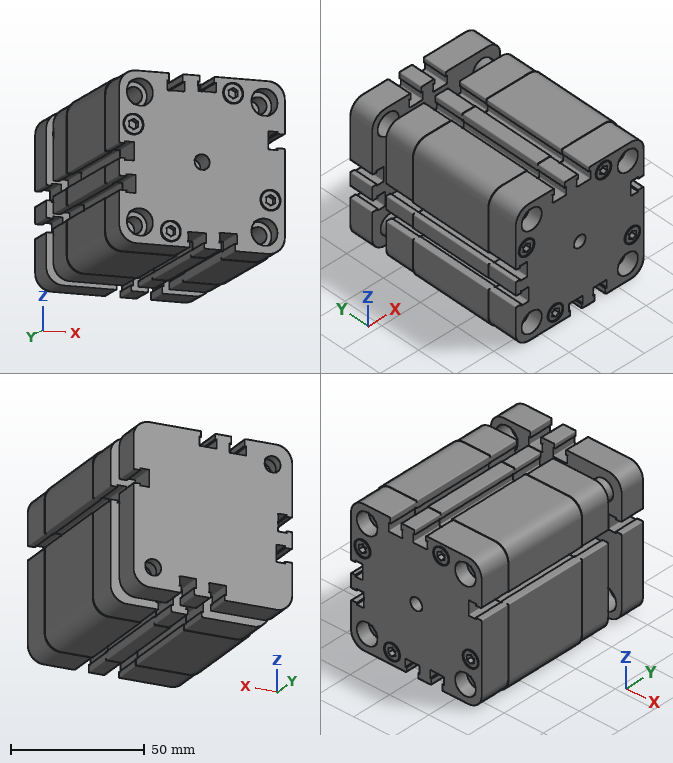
import cadquery as cq


OVERALL_LENGTH = 90.0
PLATE_THICKNESS = 12.0
ROD_GAP = 7.5
CAP_LENGTH = 14.75

REAR_FACE_Y = -OVERALL_LENGTH / 2
BARREL_REAR_Y = REAR_FACE_Y + CAP_LENGTH
PLATE_FRONT_Y = OVERALL_LENGTH / 2
PLATE_REAR_Y = PLATE_FRONT_Y - PLATE_THICKNESS
BODY_FRONT_Y = PLATE_REAR_Y - ROD_GAP
BARREL_FRONT_Y = BODY_FRONT_Y - CAP_LENGTH

BARREL_WIDTH = 67.0
CAP_WIDTH = 66.5
CORNER_RADIUS = 6.75

DEEP_CENTER = -10.5
DEEP_MOUTH = 5.5
CAP_DEEP_SLOT = (DEEP_CENTER, DEEP_MOUTH, 7.0, 30.35, 26.6)
BARREL_DEEP_SLOT = (DEEP_CENTER, DEEP_MOUTH, 7.2, 30.05, 26.4)
SHALLOW_LIP = 31.0
CAP_SHALLOW_SLOT = (2.0, 5.8, 7.2, SHALLOW_LIP, 27.25)
BARREL_SHALLOW_SLOT = (1.85, 5.5, 7.1, SHALLOW_LIP, 27.55)
MOUTH_FILLET = 0.5
FLOOR_FILLET = 0.5

DEEP_SLOT_ANGLES = (0, 90, 180, 270)
SHALLOW_SLOT_ANGLES = (0, 180, 270)

HOLE_OFFSET = 25.0
HOLE_DIAMETER = 6.65
COUNTERBORE_DIAMETER = 10.5
COUNTERBORE_DEPTH = 6.5
PLATE_BORE_DIAMETER = 11.0
PLATE_BORE_DEPTH = 8.0
THROUGH_CORNERS = ((-HOLE_OFFSET, HOLE_OFFSET), (HOLE_OFFSET, -HOLE_OFFSET))
BLIND_CORNERS = ((HOLE_OFFSET, HOLE_OFFSET), (-HOLE_OFFSET, -HOLE_OFFSET))

SCREW_NEAR = 12.5
SCREW_FAR = 27.5
SCREW_POINTS = (
    (SCREW_NEAR, SCREW_FAR),
    (SCREW_FAR, -SCREW_NEAR),
    (-SCREW_NEAR, -SCREW_FAR),
    (-SCREW_FAR, SCREW_NEAR),
)
SCREW_RECESS_DIAMETER = 8.0
SCREW_HEAD_DIAMETER = 7.5
SCREW_RECESS_DEPTH = 0.4
SOCKET_DIAMETER = 4.1
SOCKET_DEPTH = 2.5
SOCKET_SIDES = 6

CENTER_HOLE_DIAMETER = 6.0
CENTER_HOLE_DEPTH = 10.0

ROD_DIAMETER = 16.0
ROD_END_FILLET = 2.0
FLATS_WIDTH = 13.0
FLATS_LENGTH = 5.5
GUIDE_DIAMETER = 10.0
GUIDE_OFFSET = 24.0


def plane_at(y):
    """Plane across the stroke axis with local axes X and Z; extrusions run toward -Y."""
    return cq.Workplane("XZ", origin=(0, y, 0))


def about_axis(shape, angle):
    """Turn a shape about the stroke axis; positive angles carry the top face toward +X."""
    return shape.rotate((0, 0, 0), (0, 1, 0), angle)


def slot_cutter(slot, width, y_start, y_end):
    """Cutter for one slot in the top face of a block, with rounded mouth edges and floor corners."""
    center, mouth, channel, lip, floor = slot
    top = width / 2
    half_mouth = mouth / 2
    half_channel = channel / 2
    flare = half_mouth + MOUTH_FILLET
    arc_start = top - MOUTH_FILLET
    above = top + MOUTH_FILLET
    section = (
        plane_at(y_end)
        .center(center, 0)
        .moveTo(-half_channel, floor)
        .lineTo(half_channel, floor)
        .lineTo(half_channel, lip)
        .lineTo(half_mouth, lip)
        .lineTo(half_mouth, arc_start)
        .radiusArc((flare, top), MOUTH_FILLET)
        .lineTo(flare, above)
        .lineTo(-flare, above)
        .lineTo(-flare, top)
        .radiusArc((-half_mouth, arc_start), MOUTH_FILLET)
        .lineTo(-half_mouth, lip)
        .lineTo(-half_channel, lip)
        .close()
    )
    return section.extrude(y_end - y_start).faces("<Z").edges("|Y").fillet(FLOOR_FILLET)


def slotted_block(width, deep_slot, shallow_slot, y_start, y_end):
    """Rounded square block with the sensor slots running along its whole length."""
    length = y_end - y_start
    block = plane_at(y_end).rect(width, width).extrude(length).edges("|Y").fillet(CORNER_RADIUS)
    for slot, angles in ((deep_slot, DEEP_SLOT_ANGLES), (shallow_slot, SHALLOW_SLOT_ANGLES)):
        cutter = slot_cutter(slot, width, y_start, y_end)
        for angle in angles:
            block = block.cut(about_axis(cutter, angle))
    return block


def cap_block(y_start, y_end):
    return slotted_block(CAP_WIDTH, CAP_DEEP_SLOT, CAP_SHALLOW_SLOT, y_start, y_end)


def cylinders(points, diameter, y_start, y_end):
    """Cylinders along the stroke axis at the given (X, Z) points."""
    return plane_at(y_end).pushPoints(points).circle(diameter / 2).extrude(y_end - y_start)


def piston_rod():
    """Rod from the body to the plate, with wrench flats that ramp out at 45 degrees."""
    rod = cylinders([(0, 0)], ROD_DIAMETER, BARREL_FRONT_Y, PLATE_REAR_Y)
    rod = rod.faces(">Y").edges().fillet(ROD_END_FILLET)
    flat_x = FLATS_WIDTH / 2
    outer_x = ROD_DIAMETER / 2
    ramp = outer_x - flat_x
    flat_end_y = PLATE_REAR_Y - FLATS_LENGTH
    flat = (
        cq.Workplane("XY", origin=(0, 0, -outer_x))
        .moveTo(flat_x, PLATE_REAR_Y)
        .lineTo(flat_x, flat_end_y)
        .lineTo(outer_x, flat_end_y - ramp)
        .lineTo(outer_x, PLATE_REAR_Y)
        .close()
        .extrude(ROD_DIAMETER)
    )
    return rod.cut(flat).cut(flat.mirror("YZ"))


def guide_rods():
    points = [(GUIDE_OFFSET, GUIDE_OFFSET), (-GUIDE_OFFSET, -GUIDE_OFFSET)]
    return cylinders(points, GUIDE_DIAMETER, BARREL_FRONT_Y, PLATE_REAR_Y)


def corner_holes():
    """Counterbored corner holes of the rear cap; the through pair also opens the plate."""
    corners = THROUGH_CORNERS + BLIND_CORNERS
    counterbores = cylinders(
        corners, COUNTERBORE_DIAMETER, REAR_FACE_Y, REAR_FACE_Y + COUNTERBORE_DEPTH
    )
    through = cylinders(THROUGH_CORNERS, HOLE_DIAMETER, REAR_FACE_Y, PLATE_FRONT_Y)
    blind = cylinders(BLIND_CORNERS, HOLE_DIAMETER, REAR_FACE_Y, BARREL_REAR_Y)
    plate_bores = cylinders(
        THROUGH_CORNERS, PLATE_BORE_DIAMETER, PLATE_REAR_Y, PLATE_REAR_Y + PLATE_BORE_DEPTH
    )
    return counterbores.union(through).union(blind).union(plate_bores)


def screw_cutters():
    """Ring-shaped gaps around the flush screw heads, together with their hexagon sockets."""
    recess_y = REAR_FACE_Y + SCREW_RECESS_DEPTH
    recesses = cylinders(SCREW_POINTS, SCREW_RECESS_DIAMETER, REAR_FACE_Y, recess_y)
    heads = cylinders(SCREW_POINTS, SCREW_HEAD_DIAMETER, REAR_FACE_Y, recess_y)
    turned_points = [(z, -x) for x, z in SCREW_POINTS]
    sockets = (
        plane_at(REAR_FACE_Y + SOCKET_DEPTH)
        .transformed(rotate=(0, 0, 90))
        .pushPoints(turned_points)
        .polygon(SOCKET_SIDES, SOCKET_DIAMETER)
        .extrude(SOCKET_DEPTH)
    )
    return recesses.cut(heads).union(sockets)


def center_hole():
    return cylinders([(0, 0)], CENTER_HOLE_DIAMETER, REAR_FACE_Y, REAR_FACE_Y + CENTER_HOLE_DEPTH)


barrel = slotted_block(
    BARREL_WIDTH, BARREL_DEEP_SLOT, BARREL_SHALLOW_SLOT, BARREL_REAR_Y, BARREL_FRONT_Y
)
result = (
    barrel.union(cap_block(REAR_FACE_Y, BARREL_REAR_Y))
    .union(cap_block(BARREL_FRONT_Y, BODY_FRONT_Y))
    .union(cap_block(PLATE_REAR_Y, PLATE_FRONT_Y))
    .union(piston_rod())
    .union(guide_rods())
    .cut(corner_holes())
    .cut(screw_cutters())
    .cut(center_hole())
)